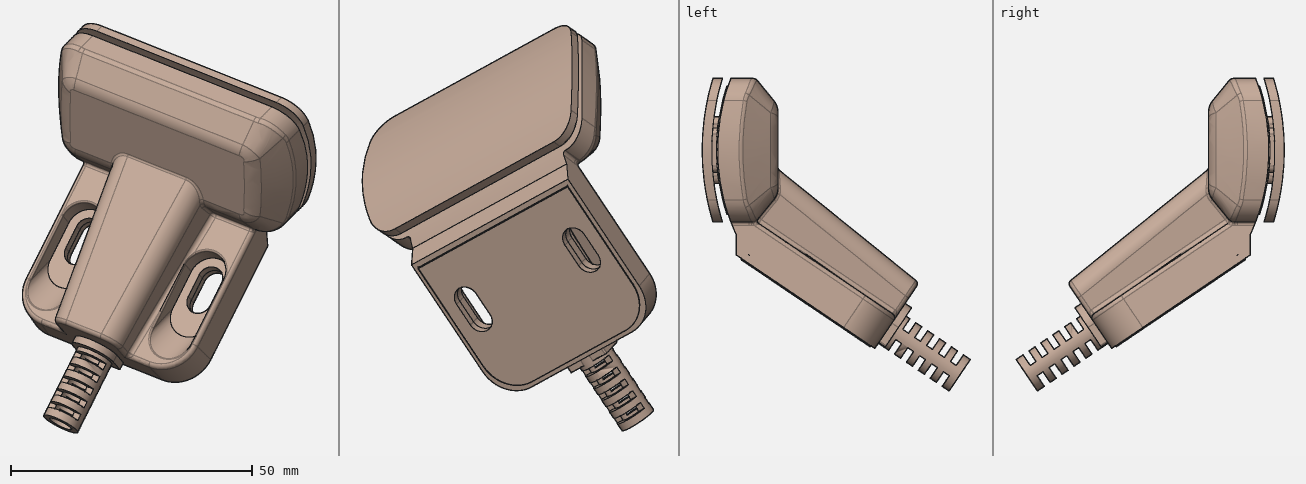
import cadquery as cq
import math

FAR = 38.9

HEAD_HALF_WIDTH = 29.0
HEAD_HALF_HEIGHT = 14.9
HEAD_SIDE_RADIUS = 43.75
HEAD_CORNER_RADIUS = 6.0
HEAD_FRONT_RADIUS = 42.15
HEAD_BACK_Y = -12.5
BACK_HALF_WIDTH = 23.35
BACK_HALF_HEIGHT = 9.2
BACK_CORNER_RADIUS = 2.9
TAPER_HALF_WIDTH = 32.55
TAPER_HALF_HEIGHT = 24.5
TAPER_SIDE_RADIUS = 110.2
TAPER_CORNER_RADIUS = 9.1
BACK_FILLET = 3.9
RIM_FILLET = 1.3
RIM_MIN_DEPTH = -3.9
RIM_MAX_DEPTH = -8.2

LID_INSET = 1.6
LID_DEPTH = 1.0
LID_PROUD = 0.25
PLATE_HALF_WIDTH = 29.05
PLATE_REAR_Y = 1.2
PLATE_THICKNESS = 2.0
PLATE_RADIUS = 50.55
PAD_CORE_HALF = (12.95, 6.95)
PAD_CORE_CORNER = 1.55
PAD_WING_HALF = (15.55, 4.6)
PAD_WING_CORNER = 1.3

TILT = 34.0
FOOT_TOP = -7.85
FOOT_BOTTOM = -15.9
FOOT_TOP_HALF_WIDTH = 20.9
FOOT_BOTTOM_HALF_WIDTH = 21.65
FOOT_END = 50.0
FOOT_CORNER_RADIUS = 7.8
FOOT_BACK_Y = -3.8
EDGE_FILLET = 1.0
POCKET_RIM_FILLET = 0.4
HEAD_JOINT_FILLET = 0.65

NECK_START = 7.8
NECK_START_HALF_WIDTH = 11.4
NECK_END_HALF_WIDTH = 8.05
NECK_START_TOP = 4.15
NECK_END_TOP = 0.5
NECK_FILLET = 3.9

SLOT_X = 15.0
SLOT_WIDTH = 5.4
SLOT_START = 24.45
SLOT_END = 35.0
POCKET_WIDTH = 9.3
POCKET_FLOOR = -12.2
POCKET_FLOOR_END = 40.5
POCKET_RIM_END = 47.3
POCKET_START = SLOT_START - (POCKET_WIDTH - SLOT_WIDTH) / 2

BASE_INSET = 1.0
BASE_TOP = -14.4
BASE_PROUD = 0.25
BASE_BOTTOM = FOOT_BOTTOM - BASE_PROUD

COLLAR_HALF_WIDTH = 4.9
COLLAR_TOP = -4.6
COLLAR_BOTTOM = -14.4
COLLAR_END = 51.6
COLLAR_CORNER = 0.3
TUBE_AXIS = -10.6
TUBE_RADIUS = 3.95
TUBE_BORE_RADIUS = 2.5
TUBE_END = 67.7
CUT_COUNT = 5
CUT_WIDTH = 1.4
CUT_PITCH = 3.0
CUT_START = 52.6
STRIP_HALF = 1.3


def outline(half_width, half_height, side_radius, corner_radius, y):
    """Rounded outline with bulged sides, in the plane at the given Y."""
    side_centre = half_width - side_radius
    corner_z = half_height - corner_radius
    corner_x = side_centre + math.sqrt((side_radius - corner_radius) ** 2 - corner_z ** 2)
    side_angle = math.asin(corner_z / (side_radius - corner_radius))
    middle_angle = (side_angle + math.pi / 2) / 2
    tangent_x = side_centre + side_radius * math.cos(side_angle)
    tangent_z = side_radius * math.sin(side_angle)
    middle_x = corner_x + corner_radius * math.cos(middle_angle)
    middle_z = corner_z + corner_radius * math.sin(middle_angle)
    return (
        cq.Workplane("XZ", origin=(0, y, 0))
        .moveTo(-corner_x, half_height)
        .lineTo(corner_x, half_height)
        .threePointArc((middle_x, middle_z), (tangent_x, tangent_z))
        .threePointArc((half_width, 0), (tangent_x, -tangent_z))
        .threePointArc((middle_x, -middle_z), (corner_x, -half_height))
        .lineTo(-corner_x, -half_height)
        .threePointArc((-middle_x, -middle_z), (-tangent_x, -tangent_z))
        .threePointArc((-half_width, 0), (-tangent_x, tangent_z))
        .threePointArc((-middle_x, middle_z), (-corner_x, half_height))
        .close()
    )


def curved_slab(front_y, front_radius, back_y, back_radius):
    """Wide slab between two curved faces whose apexes lie at front_y and back_y."""
    reach = HEAD_HALF_HEIGHT + 1.3
    front_edge = front_y - front_radius + math.sqrt(front_radius ** 2 - reach ** 2)
    back_edge = back_y - back_radius + math.sqrt(back_radius ** 2 - reach ** 2)
    return (
        cq.Workplane("YZ")
        .moveTo(front_edge, -reach)
        .threePointArc((front_y, 0), (front_edge, reach))
        .lineTo(back_edge, reach)
        .threePointArc((back_y, 0), (back_edge, -reach))
        .close()
        .extrude(FAR, both=True)
    )


def edges_in_box(body, low, high):
    """Edges whose middle lies in the box, or in its mirror image across X = 0."""
    box = cq.selectors.BoxSelector(low, high)
    mirrored_box = cq.selectors.BoxSelector((-low[0], *low[1:]), (-high[0], *high[1:]))
    return body.edges(box + mirrored_box)


def tilted(body):
    return body.rotate((0, 0, 0), (1, 0, 0), TILT)


def make_head():
    """Pillow-shaped head with a curved front and a tapered back."""
    wall = (
        outline(HEAD_HALF_WIDTH, HEAD_HALF_HEIGHT, HEAD_SIDE_RADIUS, HEAD_CORNER_RADIUS, 0)
        .extrude(-HEAD_BACK_Y)
        .intersect(curved_slab(0, HEAD_FRONT_RADIUS, HEAD_BACK_Y - HEAD_HALF_HEIGHT, HEAD_FRONT_RADIUS))
    )
    back = outline(BACK_HALF_WIDTH, BACK_HALF_HEIGHT, TAPER_SIDE_RADIUS, BACK_CORNER_RADIUS, HEAD_BACK_Y)
    front = outline(TAPER_HALF_WIDTH, TAPER_HALF_HEIGHT, TAPER_SIDE_RADIUS, TAPER_CORNER_RADIUS, 0)
    taper = cq.Solid.makeLoft([front.wires().val(), back.wires().val()], True)
    head = wall.intersect(cq.Workplane(taper)).faces("<Y").edges().fillet(BACK_FILLET)
    rim = [edge for edge in head.edges("not |Y").vals() if RIM_MAX_DEPTH < edge.Center().y < RIM_MIN_DEPTH]
    return head.newObject(rim).fillet(RIM_FILLET)


def foot_outline(half_width, end, n):
    """Flat foot outline at height n, with its two far corners rounded."""
    return (
        cq.Workplane("XY", origin=(0, 0, n))
        .moveTo(-half_width, 0)
        .lineTo(half_width, 0)
        .lineTo(half_width, FOOT_CORNER_RADIUS - end)
        .radiusArc((half_width - FOOT_CORNER_RADIUS, -end), FOOT_CORNER_RADIUS)
        .lineTo(FOOT_CORNER_RADIUS - half_width, -end)
        .radiusArc((-half_width, FOOT_CORNER_RADIUS - end), FOOT_CORNER_RADIUS)
        .close()
    )


def make_foot():
    """Level foot slab with drafted sides and a rounded upper edge."""
    lower = foot_outline(FOOT_BOTTOM_HALF_WIDTH, FOOT_END, FOOT_BOTTOM)
    upper = foot_outline(FOOT_TOP_HALF_WIDTH, FOOT_END, FOOT_TOP)
    foot = cq.Workplane(cq.Solid.makeLoft([lower.wires().val(), upper.wires().val()], True))
    return foot.faces(">Z").edges("not >Y").fillet(EDGE_FILLET)


def make_neck():
    """Level neck that narrows and drops away from the head."""
    root = FOOT_TOP - 2 * EDGE_FILLET
    plan = (
        cq.Workplane("XY", origin=(0, 0, root))
        .polyline([
            (-NECK_START_HALF_WIDTH, -NECK_START),
            (NECK_START_HALF_WIDTH, -NECK_START),
            (NECK_END_HALF_WIDTH, -FOOT_END),
            (-NECK_END_HALF_WIDTH, -FOOT_END),
        ])
        .close()
        .extrude(NECK_START_TOP - root)
    )
    side = (
        cq.Workplane("YZ")
        .polyline([
            (-NECK_START, root),
            (-NECK_START, NECK_START_TOP),
            (-FOOT_END, NECK_END_TOP),
            (-FOOT_END, root),
        ])
        .close()
        .extrude(FAR, both=True)
    )
    neck = plan.intersect(side)
    neck = neck.faces(">Z").edges("not #X").edges("not |X").fillet(NECK_FILLET)
    return neck.faces("<Y").edges("not <Z").fillet(EDGE_FILLET)


def slot(width, start, end, n):
    """Slot outline running down the foot from start to end, at height n."""
    return (
        cq.Workplane("XY", origin=(0, -(start + end) / 2, n))
        .slot2D(end - start, width, 90)
    )


def make_screw_cut():
    """Through slot and its ramped pocket, centred on X = 0."""
    through = slot(SLOT_WIDTH, SLOT_START, SLOT_END, BASE_BOTTOM).extrude(POCKET_FLOOR - BASE_BOTTOM)
    floor = slot(POCKET_WIDTH, POCKET_START, POCKET_FLOOR_END, POCKET_FLOOR)
    rim = slot(POCKET_WIDTH, POCKET_START, POCKET_RIM_END, FOOT_TOP)
    pocket = cq.Solid.makeLoft([floor.wires().val(), rim.wires().val()], True)
    return through.union(cq.Workplane(pocket)).union(rim.extrude(EDGE_FILLET))


def with_screw_cuts(body):
    for side in (-1, 1):
        body = body.cut(make_screw_cut().translate((side * SLOT_X, 0, 0)))
    return body


def back_wall_trim():
    """Everything behind the head's curved front and, below it, behind the upright back wall."""
    reach = HEAD_HALF_HEIGHT + HEAD_FRONT_RADIUS
    depth = -FOOT_BACK_Y
    arc_end = math.sqrt(HEAD_FRONT_RADIUS ** 2 - (HEAD_FRONT_RADIUS - depth) ** 2)
    return (
        cq.Workplane("YZ")
        .moveTo(FOOT_BACK_Y, -reach)
        .lineTo(FOOT_BACK_Y, -arc_end)
        .threePointArc((0, 0), (FOOT_BACK_Y, arc_end))
        .lineTo(-reach, arc_end)
        .lineTo(-reach, -reach)
        .close()
        .extrude(FAR, both=True)
    )


def make_stand():
    """Level foot and neck, blended together, with the screw slots cut and their rims rounded."""
    plain = make_foot().union(make_neck())
    neck_root = edges_in_box(plain, (7.8, -FOOT_END, FOOT_TOP - 0.05), (11, -NECK_START, FOOT_TOP + 0.05))
    blended = neck_root.fillet(EDGE_FILLET)
    slotted = with_screw_cuts(blended)
    pocket_rim = edges_in_box(
        slotted,
        (SLOT_X - POCKET_WIDTH / 2 - 0.3, -POCKET_RIM_END, FOOT_TOP - 0.05),
        (SLOT_X + POCKET_WIDTH / 2 + 0.3, -POCKET_START, FOOT_TOP + 0.3),
    )
    return pocket_rim.fillet(POCKET_RIM_FILLET)


def make_housing(lid, base):
    """Head, foot and neck in one piece, with the lid and base plate recesses."""
    stand = tilted(make_stand()).intersect(back_wall_trim())
    joined = make_head().union(stand)
    neck_joint = edges_in_box(joined, (-11, HEAD_BACK_Y - 0.05, -HEAD_HALF_HEIGHT), (11, -8.1, 0))
    foot_joint = edges_in_box(joined, (11, -8.4, -HEAD_HALF_HEIGHT), (22.25, -7.45, -14.6))
    blended = neck_joint.add(foot_joint).fillet(HEAD_JOINT_FILLET)
    return blended.cut(lid).cut(base)


def make_lid():
    """Curved lid that stands slightly proud of the head's front."""
    lid_outline = outline(
        HEAD_HALF_WIDTH - LID_INSET,
        HEAD_HALF_HEIGHT - LID_INSET,
        HEAD_SIDE_RADIUS - LID_INSET,
        HEAD_CORNER_RADIUS - LID_INSET,
        LID_PROUD,
    )
    slab = curved_slab(LID_PROUD, HEAD_FRONT_RADIUS, -LID_DEPTH, HEAD_FRONT_RADIUS)
    return lid_outline.extrude(HEAD_HALF_HEIGHT).intersect(slab)


def make_pad():
    """Pad between lid and cover plate: a tall middle and two lower wings."""
    blocks = [
        cq.Workplane("XZ", origin=(0, PLATE_REAR_Y, 0))
        .rect(2 * half[0], 2 * half[1])
        .extrude(2 * PLATE_REAR_Y)
        .edges("|Y")
        .fillet(corner)
        for half, corner in ((PAD_CORE_HALF, PAD_CORE_CORNER), (PAD_WING_HALF, PAD_WING_CORNER))
    ]
    gap = curved_slab(PLATE_REAR_Y, PLATE_RADIUS, LID_PROUD, HEAD_FRONT_RADIUS)
    return blocks[0].union(blocks[1]).intersect(gap)


def make_cover_plate():
    """Curved plate in front of the head, with the head's outline."""
    front_y = PLATE_REAR_Y + PLATE_THICKNESS
    plate_outline = outline(
        PLATE_HALF_WIDTH, HEAD_HALF_HEIGHT, HEAD_SIDE_RADIUS, HEAD_CORNER_RADIUS, front_y
    )
    slab = curved_slab(front_y, PLATE_RADIUS, PLATE_REAR_Y, PLATE_RADIUS)
    return plate_outline.extrude(HEAD_HALF_HEIGHT).intersect(slab)


def make_base_plate():
    """Plate under the foot, pierced by the two screw slots."""
    base = foot_outline(
        FOOT_BOTTOM_HALF_WIDTH - BASE_INSET, FOOT_END - BASE_INSET, BASE_BOTTOM
    ).extrude(BASE_TOP - BASE_BOTTOM)
    return tilted(with_screw_cuts(base)).intersect(back_wall_trim().translate((0, -BASE_INSET, 0)))


def make_strain_relief():
    """Arched collar with a hollow tube, cut crosswise from above and below."""
    arch_centre = COLLAR_TOP - COLLAR_HALF_WIDTH
    tube_plane = cq.Workplane("XZ", origin=(0, -FOOT_END, 0))
    collar = (
        tube_plane
        .moveTo(COLLAR_HALF_WIDTH, arch_centre)
        .threePointArc((0, COLLAR_TOP), (-COLLAR_HALF_WIDTH, arch_centre))
        .lineTo(-COLLAR_HALF_WIDTH, COLLAR_BOTTOM)
        .lineTo(COLLAR_HALF_WIDTH, COLLAR_BOTTOM)
        .close()
        .extrude(COLLAR_END - FOOT_END)
        .faces("<Z")
        .edges("|Y")
        .fillet(COLLAR_CORNER)
    )
    length = TUBE_END - FOOT_END
    tube = tube_plane.center(0, TUBE_AXIS).circle(TUBE_RADIUS).extrude(length)
    bore = tube_plane.center(0, TUBE_AXIS).circle(TUBE_BORE_RADIUS).extrude(length)
    for index in range(CUT_COUNT):
        cut_middle = CUT_START + index * CUT_PITCH + CUT_WIDTH / 2
        for side in (-1, 1):
            cut = cq.Workplane("XY").box(2 * TUBE_RADIUS, CUT_WIDTH, 2 * TUBE_RADIUS)
            tube = tube.cut(cut.translate((0, -cut_middle, TUBE_AXIS + side * (TUBE_RADIUS + STRIP_HALF))))
    return tilted(collar.union(tube).cut(bore))


lid = make_lid()
base_plate = make_base_plate()
housing = make_housing(lid, base_plate)
pad = make_pad()
cover_plate = make_cover_plate()
strain_relief = make_strain_relief().cut(housing)

result = cq.Compound.makeCompound([
    housing.val(),
    lid.val(),
    pad.val(),
    cover_plate.val(),
    base_plate.val(),
    strain_relief.val(),
])